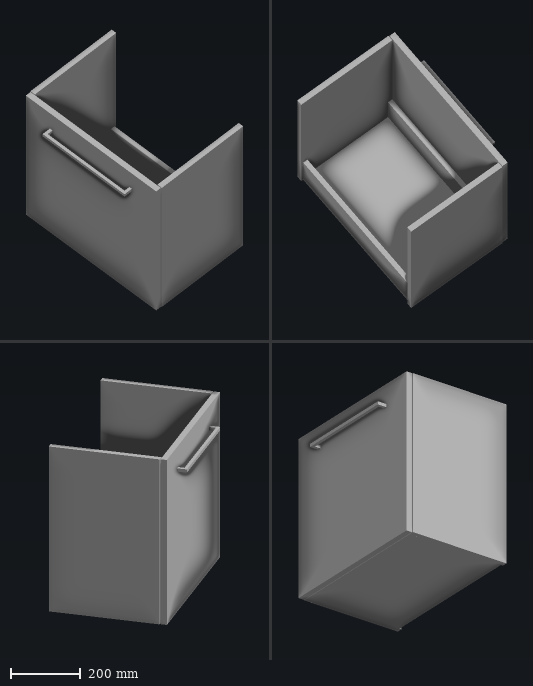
import cadquery as cq

WIDTH = 530.0
DEPTH = 384.0
HEIGHT = 514.0

SIDE_THICKNESS = 18.0
DOOR_THICKNESS = 19.0
DOOR_SIDE_INSET = 2.0
DOOR_GAP = 2.0
BOTTOM_THICKNESS = 16.0
RAIL_THICKNESS = 16.0
RAIL_HEIGHT = 100.0
RAIL_EDGE_RADIUS = 4.0 / 2
BACK_RAIL_SETBACK = 7.0

HANDLE_LENGTH = 330.0
HANDLE_PROJECTION = 30.0
HANDLE_BAR = 10.0
HANDLE_TOP_DROP = 65.0

door_front = HANDLE_PROJECTION
door_back = door_front + DOOR_THICKNESS
carcass_front = door_back + DOOR_GAP
rear_of_back_rail = DEPTH - BACK_RAIL_SETBACK
inner_width = WIDTH - 2 * SIDE_THICKNESS


def board(width, depth, height, x, y, z):
    """Rectangular board with its minimum corner at (x, y, z)."""
    return cq.Workplane("XY").box(width, depth, height, centered=False).translate((x, y, z))


def make_side(x):
    """Upright side panel over the full carcass depth."""
    return board(SIDE_THICKNESS, DEPTH - carcass_front, HEIGHT, x, carcass_front, 0)


def make_bottom():
    """Floor panel between the sides, carrying both rails."""
    depth = rear_of_back_rail - carcass_front
    return board(inner_width, depth, BOTTOM_THICKNESS, SIDE_THICKNESS, carcass_front, 0)


def make_rail(front):
    """Upright cross rail on the floor with a rounded upper front edge."""
    rail = board(inner_width, RAIL_THICKNESS, RAIL_HEIGHT, SIDE_THICKNESS, front, BOTTOM_THICKNESS)
    return rail.faces("<Y").edges(">Z").fillet(RAIL_EDGE_RADIUS)


def make_door():
    """Full-height front panel, slightly narrower than the carcass."""
    door_width = WIDTH - 2 * DOOR_SIDE_INSET
    return board(door_width, DOOR_THICKNESS, HEIGHT, DOOR_SIDE_INSET, door_front, 0)


def make_handle():
    """U-shaped square-bar handle standing on the door."""
    left = (WIDTH - HANDLE_LENGTH) / 2
    base = HEIGHT - HANDLE_TOP_DROP - HANDLE_BAR
    outer = board(HANDLE_LENGTH, HANDLE_PROJECTION, HANDLE_BAR, left, 0, base)
    opening = board(
        HANDLE_LENGTH - 2 * HANDLE_BAR,
        HANDLE_PROJECTION - HANDLE_BAR,
        HANDLE_BAR,
        left + HANDLE_BAR,
        HANDLE_BAR,
        base,
    )
    return outer.cut(opening)


sides = [make_side(x) for x in (0, WIDTH - SIDE_THICKNESS)]
bottom = make_bottom()
rails = [make_rail(front) for front in (carcass_front, rear_of_back_rail - RAIL_THICKNESS)]
door = make_door()
handle = make_handle()

bodies = [*sides, bottom, *rails, door, handle]
result = cq.Compound.makeCompound([body.val() for body in bodies])